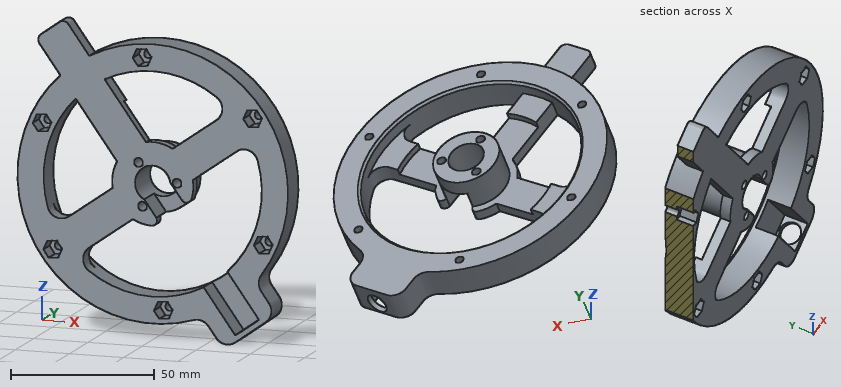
import cadquery as cq
import math

ring_dia = 99.9
opening_dia = 80.5
ring_depth = 11.5
opening_chamfer = 0.9
web_depth = 6.5
thin_web_depth = 4.0
recess_dia = 60.7
cross_angle = 35.0
arm_angle = 125.5

spoke_width = 13.0
spoke_fillet = 5.0
arm_width = 13.2
arm_reach = 65.3
arm_tip_fillet = 2.5

hub_dia = 30.0
boss_dia = 24.2
bore_dia = 13.0
total_depth = 16.5
hub_slot_width = 11.7
hub_slot_depth = 10.6
hub_slot_fillet = 2.0
hub_screw_dia = 3.2
hub_screw_radius = 9.0
hub_screw_count = 3

bolt_dia = 3.0
bolt_circle_radius = 45.1
bolt_count = 6
nut_width = 6.0
nut_depth = 6.7
nut_sides = 6

lug_width = 23.9
lug_reach = 62.1
lug_end_fillet = 5.0
lug_root_fillet = 5.0
pocket_width = 10.7
pocket_end = 60.0
pocket_depth = 9.3
lug_hole_dia = 8.0
lug_angle = arm_angle + 180

pick_reach = 0.3


def disk(diameter, depth, start=0):
    """Cylinder about the Y axis from y = start to y = start + depth."""
    plane = cq.Workplane("XZ", origin=(0, start, 0))
    return plane.circle(diameter / 2).extrude(-depth)


def radial_bar(inner, outer, width, depth, angle):
    """Bar along a radius, from inner to outer, with its front face at y = 0."""
    bar = cq.Workplane("XY").box(outer - inner, depth, width, centered=(False, False, True))
    return turn(bar.translate((inner, 0, 0)), angle)


def turn(body, angle):
    """Turn a body about the Y axis, from +X towards +Z."""
    return body.rotate((0, 0, 0), (0, 1, 0), -angle)


def polar_points(radius, count, start_angle):
    """Points (x, z) spread evenly on a circle."""
    angles = [math.radians(start_angle + i * 360 / count) for i in range(count)]
    return [(radius * math.cos(a), radius * math.sin(a)) for a in angles]


def fillet_corners(body, along, across, angle, radius):
    """Round the pair of Y-direction edges at (along, +/- across) in a frame turned by angle."""
    turned = turn(body, -angle)
    for side in (across, -across):
        box = cq.selectors.BoxSelector(
            (along - pick_reach, -pick_reach, side - pick_reach),
            (along + pick_reach, total_depth, side + pick_reach),
        )
        turned = turned.edges("|Y").edges(box).fillet(radius)
    return turn(turned, angle)


def chord_distance(diameter, width):
    """Distance from the axis to where a bar's side meets a circle."""
    return math.sqrt((diameter / 2) ** 2 - (width / 2) ** 2)


def make_web():
    """Front layer of the ring with both spokes, rounded where they meet the ring."""
    web = disk(ring_dia, web_depth).cut(disk(opening_dia, web_depth))
    root = chord_distance(opening_dia, spoke_width)
    for angle in (cross_angle, cross_angle + 180):
        web = web.union(radial_bar(0, opening_dia / 2, spoke_width, web_depth, angle))
    for angle in (cross_angle, cross_angle + 180):
        web = fillet_corners(web, root, spoke_width / 2, angle, spoke_fillet)
    return web


def make_arm():
    """Arm from the hub through the ring to its rounded free end."""
    arm = radial_bar(0, arm_reach, arm_width, web_depth, arm_angle)
    return fillet_corners(arm, arm_reach, arm_width / 2, arm_angle, arm_tip_fillet)


def make_rim():
    """Full-depth ring with the lug blended into its outside."""
    rim = disk(ring_dia, ring_depth)
    rim = rim.union(radial_bar(0, lug_reach, lug_width, ring_depth, lug_angle))
    rim = fillet_corners(rim, lug_reach, lug_width / 2, lug_angle, lug_end_fillet)
    root = chord_distance(ring_dia, lug_width)
    rim = fillet_corners(rim, root, lug_width / 2, lug_angle, lug_root_fillet)
    rim = rim.cut(disk(opening_dia, ring_depth))
    start = cq.Vector(0, ring_depth - opening_chamfer, 0)
    inner = opening_dia / 2
    outer = inner + opening_chamfer
    cone = cq.Solid.makeCone(inner, outer, opening_chamfer, start, cq.Vector(0, 1, 0))
    return rim.cut(cq.Workplane(cone))


def make_hub_plate():
    """Thin hub disk, slotted towards the lug, with rounded slot corners."""
    plate = disk(hub_dia, thin_web_depth)
    plate = plate.cut(radial_bar(0, hub_dia, hub_slot_width, thin_web_depth, lug_angle))
    corner = chord_distance(hub_dia, hub_slot_width)
    return fillet_corners(plate, corner, hub_slot_width / 2, lug_angle, hub_slot_fillet)


def cut_lug_pocket(body):
    """Pocket open to the front and to the ring's inside, and the hole through its end wall."""
    inner = recess_dia / 2
    body = body.cut(radial_bar(inner, pocket_end, pocket_width, pocket_depth, lug_angle))
    hole_plane = cq.Workplane("YZ", origin=(pocket_end, pocket_depth / 2, 0))
    hole = hole_plane.circle(lug_hole_dia / 2).extrude(lug_reach - pocket_end)
    return body.cut(turn(hole, lug_angle))


def cut_holes(body, diameter, points):
    """Holes along Y through the whole part."""
    holes = cq.Workplane("XZ").pushPoints(points).circle(diameter / 2).extrude(-total_depth)
    return body.cut(holes)


def cut_nut_pockets(body):
    """Hexagonal nut pockets around the ring bolts."""
    half_side_angle = 180 / nut_sides
    corner_dia = nut_width / math.cos(math.radians(half_side_angle))
    for i in range(bolt_count):
        nut = cq.Workplane("XZ").polygon(nut_sides, corner_dia).extrude(-nut_depth)
        nut = turn(nut, half_side_angle).translate((bolt_circle_radius, 0, 0))
        body = body.cut(turn(nut, cross_angle + i * 360 / bolt_count))
    return body


body = make_web().union(make_arm())
body = body.cut(disk(recess_dia, web_depth - thin_web_depth, thin_web_depth))
body = body.union(make_rim())

slot = radial_bar(0, hub_dia, hub_slot_width, hub_slot_depth, lug_angle)
body = body.union(disk(boss_dia, total_depth)).cut(slot).union(make_hub_plate())
body = body.cut(disk(bore_dia, total_depth))

body = cut_lug_pocket(body)
body = cut_nut_pockets(body)
body = cut_holes(body, bolt_dia, polar_points(bolt_circle_radius, bolt_count, cross_angle))
body = cut_holes(body, hub_screw_dia, polar_points(hub_screw_radius, hub_screw_count, arm_angle))

result = body